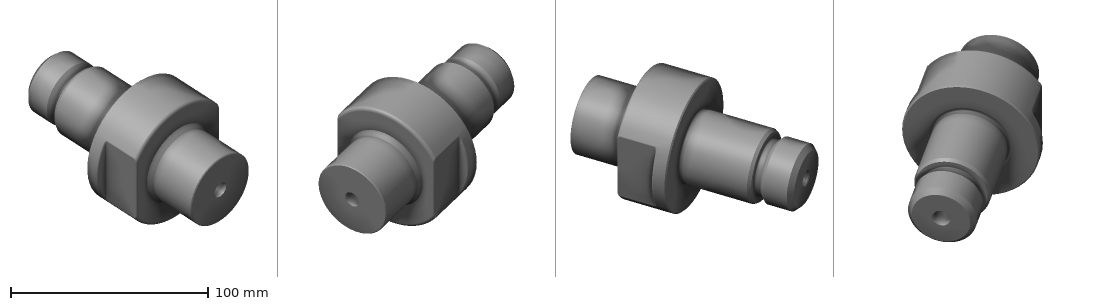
import cadquery as cq
import math

total_length = 122.0
groove_start = 18.9
journal_start = 22.2
flange_start = 62.0
flange_end = 92.0
flat_start = 70.0

nose_radius = 18.0
groove_radius = 15.25
journal_radius = 20.0
flange_radius = 36.0
spigot_radius = 21.0
bore_radius = 4.25

nose_bevel = nose_radius - groove_radius
groove_bevel_length = 3.0
groove_round = 0.6
lead_in_height = 1.1
lead_in_length = 1.8
flange_chamfer = 0.7
flange_round = 2.0
spigot_chamfer = 0.5
bore_chamfer = 0.5

relief_depth = 0.3
relief_face_depth = 0.2
relief_length = 2.7
relief_height = 1.7
relief_angle = math.radians(15)
relief_round = 0.8

collar_length = 3.0
collar_height = 1.8

flat_distance = 30.0
flat_corner_round = 0.8
flat_edge_round = 1.0

tolerance = 0.01


def turned_body():
    relief_start = flange_start - relief_length
    relief_bottom = journal_radius - relief_depth
    relief_face = flange_start + relief_face_depth
    profile = (
        cq.Workplane("XY")
        .moveTo(0, 0)
        .lineTo(0, nose_radius - nose_bevel)
        .lineTo(nose_bevel, nose_radius)
        .lineTo(groove_start - groove_bevel_length, nose_radius)
        .lineTo(groove_start, groove_radius)
        .lineTo(journal_start, groove_radius)
        .lineTo(journal_start, journal_radius - lead_in_height)
        .lineTo(journal_start + lead_in_length, journal_radius)
        .lineTo(relief_start, journal_radius)
        .lineTo(relief_start + relief_depth / math.tan(relief_angle), relief_bottom)
        .lineTo(relief_face - relief_round, relief_bottom)
        .radiusArc((relief_face, relief_bottom + relief_round), -relief_round)
        .lineTo(flange_start, journal_radius + relief_height)
        .lineTo(flange_start, flange_radius - flange_chamfer)
        .lineTo(flange_start + flange_chamfer, flange_radius)
        .lineTo(flange_end - flange_round, flange_radius)
        .radiusArc((flange_end, flange_radius - flange_round), flange_round)
        .lineTo(flange_end, spigot_radius + collar_height)
        .lineTo(flange_end + collar_length, spigot_radius)
        .lineTo(total_length - spigot_chamfer, spigot_radius)
        .lineTo(total_length, spigot_radius - spigot_chamfer)
        .lineTo(total_length, 0)
        .close()
    )
    return profile.revolve(360, (0, 0, 0), (1, 0, 0))


def round_groove(body):
    """Round the two corners at the bottom of the neck groove."""
    half_size = groove_radius + tolerance
    groove_bottom = cq.selectors.BoxSelector(
        (groove_start - tolerance, -half_size, -half_size),
        (journal_start + tolerance, half_size, half_size),
        boundingbox=True,
    )
    return body.edges(groove_bottom).edges("%CIRCLE").fillet(groove_round)


def cut_flats(body):
    cutter_size = 2 * flange_radius
    cutter = (
        cq.Workplane("XY")
        .box(cutter_size, cutter_size, cutter_size, centered=(False, False, True))
        .translate((flat_start, flat_distance, 0))
        .edges("<X and <Y")
        .fillet(flat_corner_round)
    )
    return body.cut(cutter).cut(cutter.mirror("XZ"))


def is_flat_border(edge):
    """True for the outward edges around a flat, leaving out its rounded inner corner."""
    center = edge.Center()
    beside_flat = flat_start - tolerance < center.x < flange_end + tolerance
    outside_flat = abs(center.y) > flat_distance - tolerance
    in_corner = abs(center.z) < tolerance and center.x < flat_start + flat_corner_round + tolerance
    inner_corner = in_corner and abs(center.y) < flat_distance + flat_corner_round + tolerance
    return beside_flat and outside_flat and not inner_corner


def round_flat_borders(body):
    borders = [edge for edge in body.edges().vals() if is_flat_border(edge)]
    return body.newObject(borders).fillet(flat_edge_round)


def bore():
    hole = cq.Workplane("YZ").circle(bore_radius).extrude(total_length)
    mouth = cq.Solid.makeCone(
        bore_radius + bore_chamfer, bore_radius, bore_chamfer, cq.Vector(0, 0, 0), cq.Vector(1, 0, 0)
    )
    return hole.union(cq.Workplane(obj=mouth))


body = round_groove(turned_body())
body = cut_flats(body)
body = round_flat_borders(body)
result = body.cut(bore())